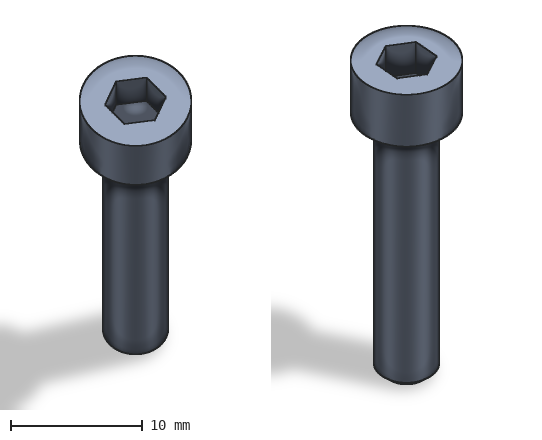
import cadquery as cq

total_length = 30.0
head_diameter = 8.5
head_height = 5.0
shank_diameter = 5.0
tip_chamfer_height = 0.8
tip_chamfer_width = 0.8
socket_across_corners = 4.68
socket_depth = 3.0

shank_length = total_length - head_height


def make_shank():
    """Plain round shank with a chamfered tip."""
    shank = cq.Workplane("XY").circle(shank_diameter / 2).extrude(shank_length)
    return shank.faces("<Z").chamfer(tip_chamfer_height, tip_chamfer_width)


def make_head():
    """Cylindrical head on top of the shank."""
    return (
        cq.Workplane("XY")
        .workplane(offset=shank_length)
        .circle(head_diameter / 2)
        .extrude(head_height)
    )


def make_socket():
    """Hexagonal key socket with two corners on the X axis."""
    return (
        cq.Workplane("XY")
        .workplane(offset=total_length - socket_depth)
        .polygon(6, socket_across_corners)
        .extrude(socket_depth)
    )


result = make_shank().union(make_head()).cut(make_socket())